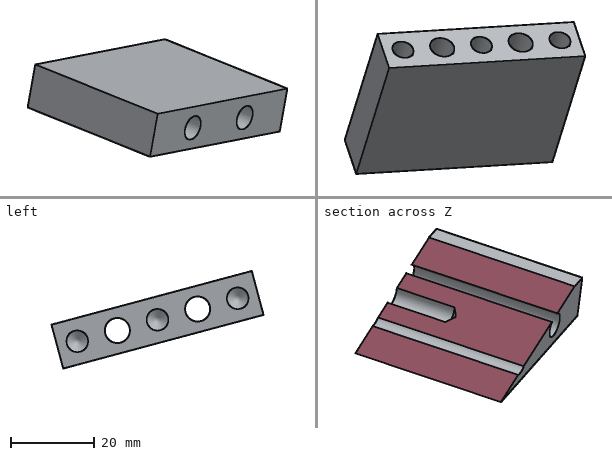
import cadquery as cq
import math

width = 38.7
thickness = 11.0
tilt_angle = 15.0
overall_length = 51.15

tilt = math.radians(tilt_angle)
length = (overall_length - thickness * math.sin(tilt)) / math.cos(tilt)

hole_count = 5
hole_pitch = length / hole_count
through_diameter = 6.0
blind_diameter = 5.2
blind_depth = 15.35
drill_point_angle = 118.0

through_positions = [-hole_pitch, hole_pitch]
blind_positions = [-2 * hole_pitch, 0, 2 * hole_pitch]


def through_hole(y):
    """Cylinder crossing the whole width."""
    return (
        cq.Workplane("YZ", origin=(-width / 2, y, 0))
        .circle(through_diameter / 2)
        .extrude(width)
    )


def blind_hole(y):
    """Drilled hole with a conical bottom, revolved about its own axis."""
    radius = blind_diameter / 2
    point_depth = radius / math.tan(math.radians(drill_point_angle / 2))
    return (
        cq.Workplane("XY", origin=(-width / 2, y, 0))
        .lineTo(0, radius)
        .lineTo(blind_depth, radius)
        .lineTo(blind_depth + point_depth, 0)
        .close()
        .revolve(360, (0, 0, 0), (1, 0, 0))
    )


plate = cq.Workplane("XY").box(width, length, thickness)

for y in through_positions:
    plate = plate.cut(through_hole(y))

for y in blind_positions:
    plate = plate.cut(blind_hole(y))

result = plate.rotate((0, 0, 0), (1, 0, 0), -tilt_angle)